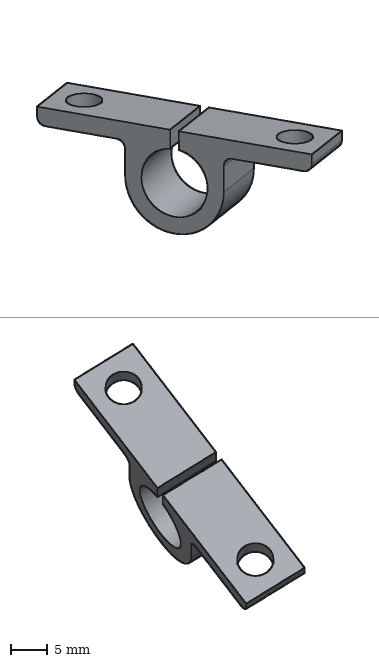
import cadquery as cq

length = 41.75
width = 9.75
height = 15.27
flange_thickness = 2.7
ring_radius = 7.5
bore_radius = 5.0
slit_width = 1.35
hole_diameter = 5.0
end_radius = 1.35
inner_radius = 1.25

top_z = height - ring_radius
flange_bottom_z = top_z - flange_thickness
hole_inset = width / 2
hole_x = length / 2 - hole_inset


def make_body():
    """Flange and U-shaped ring housing, extruded symmetrically along Y."""
    body = (
        cq.Workplane("XZ")
        .moveTo(-length / 2, top_z)
        .lineTo(length / 2, top_z)
        .lineTo(length / 2, flange_bottom_z)
        .lineTo(ring_radius, flange_bottom_z)
        .lineTo(ring_radius, 0)
        .threePointArc((0, -ring_radius), (-ring_radius, 0))
        .lineTo(-ring_radius, flange_bottom_z)
        .lineTo(-length / 2, flange_bottom_z)
        .close()
        .extrude(width / 2, both=True)
    )
    for side in (-1, 1):
        for x, radius in ((length / 2, end_radius), (ring_radius, inner_radius)):
            corner = cq.NearestToPointSelector((side * x, 0, flange_bottom_z))
            body = body.edges("|Y").edges(corner).fillet(radius)
    return body


def make_bore():
    return cq.Workplane("XZ").circle(bore_radius).extrude(width / 2, both=True)


def make_slit():
    """Gap from the bore up through the top face."""
    return cq.Workplane("XY").box(slit_width, width, top_z, centered=(True, True, False))


def make_mounting_holes():
    return (
        cq.Workplane("XY", origin=(0, 0, flange_bottom_z))
        .pushPoints([(-hole_x, 0), (hole_x, 0)])
        .circle(hole_diameter / 2)
        .extrude(flange_thickness)
    )


result = make_body().cut(make_bore()).cut(make_slit()).cut(make_mounting_holes())